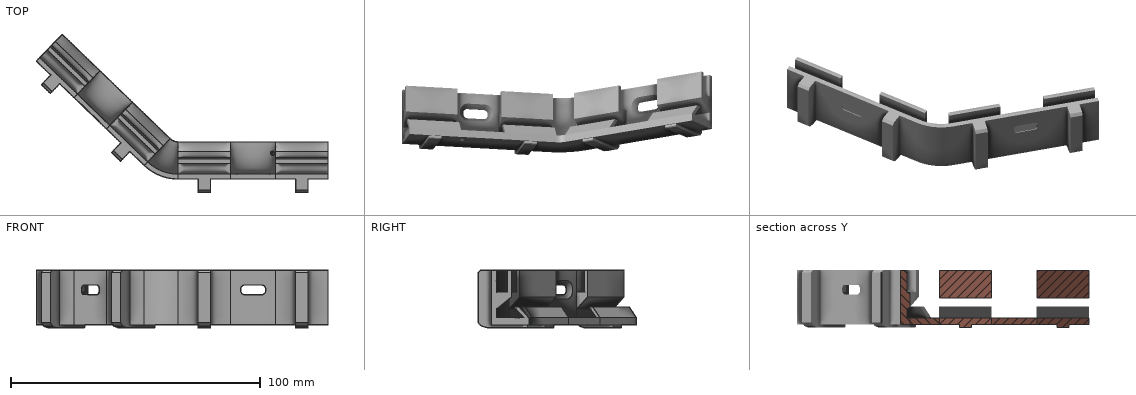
import cadquery as cq
import math


overall_length = 116.9
turn_angle = 44.0
clip_length = 21.0
depth = 15.0
height = 22.0
wall_thickness = 2.0
floor_thickness = 2.9
bend_radius = 19.5

fence_height = 7.2
fence_back = 11.0
fence_front = 8.8
fence_foot = 13.0

lip_front = 6.3
lip_back = 8.1
lip_slot_floor = 13.1
lip_bottom = 11.2
groove_top = 6.3

rib_width = 5.0
rib_reach = 5.4
rib_drop = 1.2
rib_end = 14.5
rib_top_chamfer = 1.0
toe_top = 0.9
toe_bend_setback = 1.3
toe_bend_height = -0.5
toe_end_setback = 3.7
rib_end_chamfer = 0.4

slot_length = 9.9
slot_height = 3.9
slot_corner_radius = 1.6
slot_middle = 14.0
slot_land = 0.2
flare_angle = 45.0

mark_diameter = 1.5
disc_diameter = 0.6
mark_end_distance = 1.3
mark_y = 10.4

bend_span = bend_radius * math.sin(math.radians(turn_angle))
arm_length = (overall_length - bend_span) / (1 + math.cos(math.radians(turn_angle)))
plate_length = arm_length - 2 * clip_length
plate_start = clip_length
outer_clip_start = clip_length + plate_length


def extrude_along_arm(outline, start, length):
    """Extrude a (Y, Z) outline along X from the given start."""
    return cq.Workplane("YZ", origin=(start, 0, 0)).polyline(outline).close().extrude(length)


def angle_outline():
    """L-shaped section of front wall and floor."""
    return [
        (0, 0),
        (depth, 0),
        (depth, floor_thickness),
        (wall_thickness, floor_thickness),
        (wall_thickness, height),
        (0, height),
    ]


def make_rib(middle):
    """Rib that wraps the front face and the underside of a clip."""
    outline = [
        (0, height),
        (rib_top_chamfer - rib_reach, height),
        (-rib_reach, height - rib_top_chamfer),
        (-rib_reach, toe_top),
        (toe_bend_setback - rib_reach, toe_bend_height),
        (toe_end_setback - rib_reach, -rib_drop),
        (rib_end - rib_end_chamfer, -rib_drop),
        (rib_end, rib_end_chamfer - rib_drop),
        (rib_end, 0),
        (0, 0),
    ]
    return extrude_along_arm(outline, middle - rib_width / 2, rib_width)


def make_clip(start):
    """Clip with a lip at the top, a groove at the back and a rib around the front."""
    outline = [
        (0, 0),
        (depth, 0),
        (depth, floor_thickness),
        (fence_back, fence_height),
        (fence_front, fence_height),
        (fence_foot, floor_thickness),
        (wall_thickness, floor_thickness),
        (wall_thickness, groove_top),
        (lip_back, lip_bottom),
        (lip_back, height),
        (lip_front, height),
        (lip_front, lip_slot_floor),
        (wall_thickness, lip_slot_floor),
        (wall_thickness, height),
        (0, height),
    ]
    body = extrude_along_arm(outline, start, clip_length)
    return body.union(make_rib(start + clip_length / 2))


def make_slot(middle):
    """Rounded slot through the front wall that flares out towards the back."""
    outline = cq.Sketch().rect(slot_length, slot_height).vertices().fillet(slot_corner_radius)
    front = cq.Workplane("XZ", origin=(middle, 0, slot_middle))
    land = front.placeSketch(outline).extrude(-slot_land)
    flare = (
        front.workplane(offset=-slot_land)
        .placeSketch(outline)
        .extrude(slot_land - wall_thickness, taper=-flare_angle)
    )
    return land.union(flare)


def make_plate(start):
    """L-section plate with a slot through its front wall."""
    body = extrude_along_arm(angle_outline(), start, plate_length)
    return body.cut(make_slot(start + plate_length / 2))


def make_floor_cylinder(x, diameter):
    """Cylinder as tall as the floor, at the place of the degree mark."""
    return cq.Workplane("XY", origin=(x, mark_y, 0)).circle(diameter / 2).extrude(floor_thickness)


def make_bend():
    """L-section swept around the bend, from the straight arm to the turned arm."""
    section = cq.Workplane("YZ").polyline(angle_outline()).close()
    return section.revolve(turn_angle, (bend_radius, 0, 0), (bend_radius, -1, 0))


def turn_to_second_arm(body):
    """Swing a body around the bend axis into the direction of the second arm."""
    return body.rotate((0, bend_radius, 0), (0, bend_radius, 1), -turn_angle)


clips = []
for clip_start in (0, outer_clip_start):
    clips.append(make_clip(clip_start))
    clips.append(turn_to_second_arm(make_clip(-clip_start - clip_length)))

mark_x = plate_start + plate_length - mark_end_distance
marked_plate = make_plate(plate_start).cut(make_floor_cylinder(mark_x, mark_diameter))
mark_disc = make_floor_cylinder(mark_x, disc_diameter)
plain_plate = turn_to_second_arm(make_plate(-plate_start - plate_length))
bend = make_bend()

bodies = [*clips, marked_plate, mark_disc, plain_plate, bend]
result = cq.Compound.makeCompound([body.val() for body in bodies])